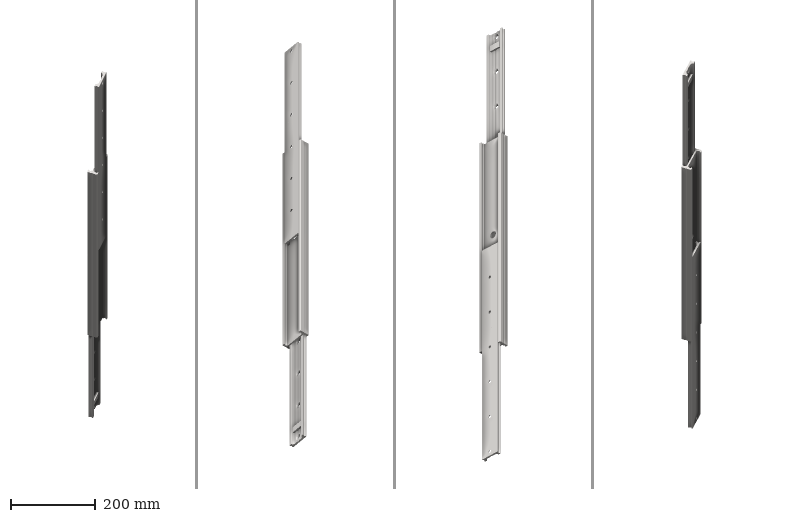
import cadquery as cq

total_length = 1225.0
slide_thickness = 26.0
beam_width = 69.0
rail_length = total_length * 0.49
beam_length = rail_length

beam_web = 4.0
channel_width = 54.0
channel_depth = (slide_thickness - beam_web) / 2
beam_corner_radius = 2.0
flange_groove_width = 4.0
flange_groove_depth = 0.6
access_hole_diameter = 18.0
access_hole_height = 27.0

rail_width = 50.0
rail_depth = channel_depth
rail_web = 5.0
rail_floor_width = 26.0
rail_bend_width = 34.0
rail_bend_height = 1.8
rail_mouth_width = 38.0
floor_groove_width = 4.0
floor_groove_depth = 1.0

track_diameter = 6.0
track_x = (slide_thickness + beam_web) / 4
track_y = (channel_width + rail_width) / 4

hole_count = 6
hole_pitch = rail_length / hole_count
hole_end_distance = 12.0
hole_diameter = 8.0
countersink_diameter = 16.0
countersink_angle = 90

stop_end_distance = 34.0
stop_length = 16.0
stop_width = 30.0
stop_height = 5.0


def make_tracks():
    """Four full-length rods, one along each ball track, for cutting the track grooves."""
    track_centres = [(x, y) for x in (-track_x, track_x) for y in (-track_y, track_y)]
    return (
        cq.Workplane("XY")
        .pushPoints(track_centres)
        .circle(track_diameter / 2)
        .extrude(total_length / 2, both=True)
    )


def make_beam():
    """I-section beam, centred on the origin, with a channel open to -X and one open to +X."""
    beam = (
        cq.Workplane("XY")
        .rect(slide_thickness, beam_width)
        .extrude(beam_length / 2, both=True)
        .edges("|Z")
        .fillet(beam_corner_radius)
    )
    for side in (-1, 1):
        channel = cq.Workplane("XY").box(channel_depth, channel_width, beam_length)
        beam = beam.cut(channel.translate((side * (beam_web + channel_depth) / 2, 0, 0)))
        groove = (
            cq.Workplane("XY")
            .polyline(
                [
                    (-flange_groove_width / 2, side * beam_width / 2),
                    (flange_groove_width / 2, side * beam_width / 2),
                    (0, side * (beam_width / 2 - flange_groove_depth)),
                ]
            )
            .close()
            .extrude(beam_length / 2, both=True)
        )
        beam = beam.cut(groove)
    access_hole = (
        cq.Workplane("YZ")
        .center(0, access_hole_height)
        .circle(access_hole_diameter / 2)
        .extrude(beam_web, both=True)
    )
    return beam.cut(access_hole).cut(make_tracks())


def make_rail():
    """Lower rail: its back lies on the -X side and its channel opens towards the beam web."""
    back_x = -slide_thickness / 2
    floor_x = back_x + rail_web
    mouth_x = back_x + rail_depth
    half_section = [
        (back_x, 0),
        (back_x, rail_width / 2),
        (mouth_x, rail_width / 2),
        (mouth_x, rail_mouth_width / 2),
        (floor_x + rail_bend_height, rail_bend_width / 2),
        (floor_x, rail_floor_width / 2),
        (floor_x, floor_groove_width / 2),
        (floor_x - floor_groove_depth, floor_groove_width / 2),
        (floor_x - floor_groove_depth, 0),
    ]
    outer_end = -total_length / 2
    rail = (
        cq.Workplane("XY", origin=(0, 0, outer_end))
        .polyline(half_section)
        .close()
        .extrude(rail_length)
    )
    rail = rail.union(rail.mirror("XZ")).clean().cut(make_tracks())

    stop = cq.Workplane("XY").box(
        stop_height + floor_groove_depth, stop_width, stop_length, centered=(False, True, False)
    )
    rail = rail.union(stop.translate((floor_x - floor_groove_depth, 0, outer_end + stop_end_distance)))

    hole_centres = [
        (0, outer_end + hole_end_distance + number * hole_pitch) for number in range(hole_count)
    ]
    return (
        rail.copyWorkplane(cq.Workplane("YZ", origin=(floor_x, 0, 0)))
        .pushPoints(hole_centres)
        .cskHole(hole_diameter, countersink_diameter, countersink_angle)
    )


beam = make_beam()
rails = [make_rail().rotate((0, 0, 0), (0, 1, 0), turn) for turn in (0, 180)]

result = cq.Compound.makeCompound([beam.val(), *[rail.val() for rail in rails]])